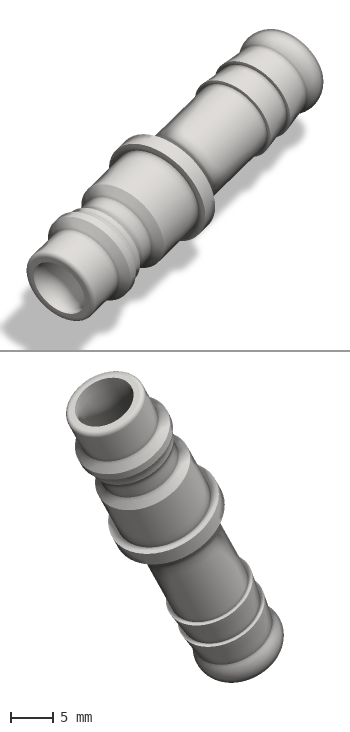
import cadquery as cq

length = 47.0
tube_radius = 5.0
shoulder_radius = 6.0
flange_radius = 7.0
bore_radius = 3.7
tip_round = 0.5

tip_cylinder_end = 5.05
collar_width = 1.05
cone_length = 1.15
flare_length = 1.7
flare_lip_length = 1.0
flare_lip_radius = 5.45
groove_width = 1.97
shoulder_length = 7.05
flange_width = 2.0

collar_start = tip_cylinder_end + cone_length
collar_end = collar_start + collar_width
flare_end = collar_end + flare_length
groove_start = flare_end + flare_lip_length
groove_end = groove_start + groove_width
shoulder_start = groove_end + cone_length
flange_start = shoulder_start + shoulder_length
flange_end = flange_start + flange_width

bead_width = 3.45
bead_radius = 5.6
barb_length = 4.05
barb_count = 2
barb_radius = 5.5
bead_start = length - bead_width


def flared_arc(profile, start, end):
    """Add a concave arc from start to end that leaves end parallel to the axis."""
    drop = start[0] - end[0]
    run = end[1] - start[1]
    arc_radius = (drop**2 + run**2) / (2 * drop)
    middle_run = run / 2
    middle_drop = arc_radius - (arc_radius**2 - middle_run**2) ** 0.5
    middle = (end[0] + middle_drop, end[1] - middle_run)
    return profile.threePointArc(middle, end)


def add_plug(profile):
    """Outline from the tip to the far face of the flange."""
    profile = (
        profile.lineTo(tube_radius, 0)
        .lineTo(tube_radius, tip_cylinder_end)
        .lineTo(shoulder_radius, collar_start)
        .lineTo(shoulder_radius, collar_end)
    )
    lip = (flare_lip_radius, flare_end)
    profile = flared_arc(profile, (shoulder_radius, collar_end), lip)
    profile = flared_arc(profile, lip, (tube_radius, groove_start))
    return (
        profile.lineTo(tube_radius, groove_end)
        .lineTo(shoulder_radius, shoulder_start)
        .lineTo(shoulder_radius, flange_start)
        .lineTo(flange_radius, flange_start)
        .lineTo(flange_radius, flange_end)
        .lineTo(tube_radius, flange_end)
    )


def add_hose_end(profile):
    """Outline of the plain tube, the barbs and the end bead."""
    first_barb_start = bead_start - barb_count * barb_length
    profile = profile.lineTo(tube_radius, first_barb_start)
    for index in range(barb_count):
        barb_start = first_barb_start + index * barb_length
        profile = profile.lineTo(barb_radius, barb_start)
        profile = profile.lineTo(tube_radius, barb_start + barb_length)
    return profile.threePointArc((bead_radius, length - bead_width / 2), (tube_radius, length))


outline = cq.Workplane("XY").moveTo(bore_radius, 0)
outline = add_plug(outline)
outline = add_hose_end(outline)
outline = outline.lineTo(bore_radius, length).close()
body = outline.revolve(360, (0, 0), (0, 1))

result = body.faces("<Y").edges(cq.selectors.RadiusNthSelector(-1)).fillet(tip_round)